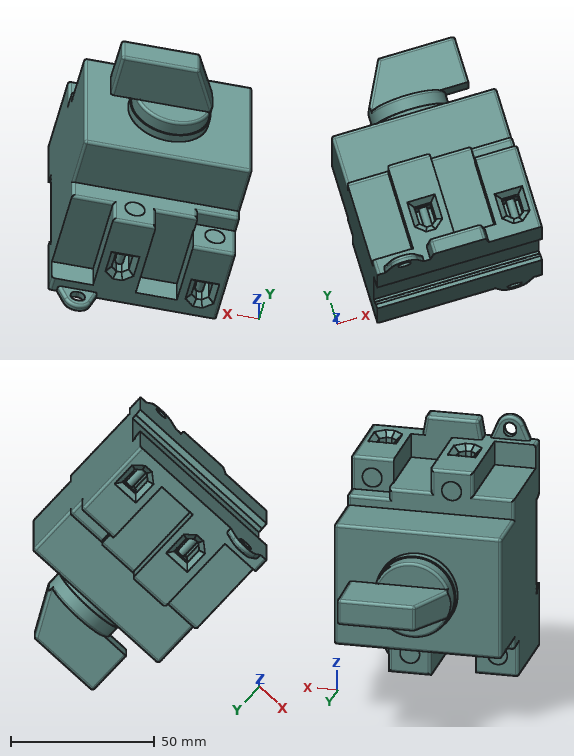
import cadquery as cq
import math


TOLERANCE = 0.01

pitch = 15.0
half_width = 2 * pitch
body_half_height = 38.8
box_half_height = 22.5
shoulder_y = 36.5
box_y = 55.6
edge_radius = 1.0

rail_depth = 4.0
rail_top = 17.9
rail_lip_top = 18.7
rail_lip_y = 2.3
rail_bottom = -17.5
hook_tip = -15.0
hook_tip_y = 1.5
hook_slope_bottom = -16.2
hook_y = 2.8

flange_y = 5.5
bay_width = 14.7
bay_floor = 30.0
step_y = 30.5
step_floor = 26.3

ear_x = 20.0
ear_top = 47.5
ear_hole_z = 42.5
ear_radius = ear_top - ear_hole_z
ear_base_half = 7.0
ear_thickness = 2.5
slot_width = 4.5
slot_length = 5.1

tab_top = 45.9
tab_base_half = 10.6
tab_top_half = 9.4

funnel_width = 10.1
funnel_tip_width = 3.3
funnel_length = 12.0
funnel_straight = 9.1
funnel_taper = 2.0
funnel_setback = 14.6

screw_z = 31.2
shaft_radius = 1.5
head_radius = 3.5
well_floor = screw_z - head_radius

terminals = [(-pitch / 2, shoulder_y), (3 * pitch / 2, step_y)]

collar_radius = 14.4
collar_y = 58.6
knob_radius = 14.0
disk_y = 64.0
disk_edge_radius = 0.95
grip_y = 81.3
grip_left = -5.1
grip_right = 22.6
grip_base_half = 5.2
grip_top_half = 4.7
grip_edge_radius = 1.0


def near(a, b):
    return abs(a - b) < TOLERANCE


def box(x0, x1, y0, y1, z0, z1):
    """Box between two opposite corners."""
    return cq.Workplane("XY", origin=(x0, y0, z0)).box(x1 - x0, y1 - y0, z1 - z0, centered=False)


def y_cylinder(radius, y0, y1, x=0, z=0):
    """Cylinder along Y from y0 to y1."""
    return cq.Workplane("XZ", origin=(x, y0, z)).circle(radius).extrude(y0 - y1)


def half_turn(shape):
    """Copy of an upper feature turned onto the lower side."""
    return shape.rotate((0, 0, 0), (0, 1, 0), 180)



def stepped_block():
    """Stepped side outline with the rail notch, swept across the width."""
    outline = [
        (0, body_half_height),
        (shoulder_y, body_half_height),
        (shoulder_y, box_half_height),
        (box_y, box_half_height),
        (box_y, -box_half_height),
        (shoulder_y, -box_half_height),
        (shoulder_y, -body_half_height),
        (0, -body_half_height),
        (0, hook_tip),
        (hook_tip_y, hook_tip),
        (hook_y, hook_slope_bottom),
        (hook_y, rail_bottom),
        (rail_depth, rail_bottom),
        (rail_depth, rail_top),
        (rail_lip_y, rail_top),
        (0, rail_lip_top),
    ]
    return cq.Workplane("YZ").polyline(outline).close().extrude(half_width, both=True)


def terminal_reliefs():
    """Space around the upper terminal blocks: two bays and the step in front of the outer block."""
    reliefs = box(pitch, half_width, step_y, shoulder_y, step_floor, body_half_height)
    for x in (-half_width, 0):
        reliefs = reliefs.union(
            box(x, x + bay_width, flange_y, shoulder_y, bay_floor, body_half_height)
        )
    opening = box(bay_width, pitch, step_y, shoulder_y, bay_floor, body_half_height)
    return reliefs.union(opening)


def is_rounded(edge):
    """True for edges of the front faces and for side outlines away from the bays and the rail notch."""
    center = edge.Center()
    height = abs(center.z)
    if near(center.y, box_y):
        return True
    if near(center.y, shoulder_y):
        inner_corner = near(height, box_half_height)
        return not inner_corner
    if near(abs(center.x), half_width):
        at_bay = near(height, bay_floor) or near(center.y, flange_y)
        at_back = near(center.y, 0) or height < rail_lip_top
        return not (at_bay or at_back)
    return near(center.y, step_y) and near(height, body_half_height)


def shell():
    reliefs = terminal_reliefs()
    block = stepped_block().cut(reliefs).cut(half_turn(reliefs))
    return block.edges().filter(is_rounded).fillet(edge_radius)


def is_above_body(edge):
    return edge.Center().z > body_half_height


root_z = body_half_height - edge_radius


def ear():
    """Upper ear without its slot: straight flanks tangent to a round end, front rim rounded."""
    rise = ear_hole_z - body_half_height
    to_foot = math.hypot(ear_base_half, rise)
    angle = math.acos(ear_radius / to_foot) - math.atan2(rise, ear_base_half)
    tangent_x = ear_radius * math.cos(angle)
    tangent_z = ear_hole_z + ear_radius * math.sin(angle)
    plate = (
        cq.Workplane("XZ")
        .moveTo(-ear_base_half, root_z)
        .lineTo(-ear_base_half, body_half_height)
        .lineTo(-tangent_x, tangent_z)
        .threePointArc((0, ear_top), (tangent_x, tangent_z))
        .lineTo(ear_base_half, body_half_height)
        .lineTo(ear_base_half, root_z)
        .close()
        .extrude(-ear_thickness)
    )
    plate = plate.faces(">Y").edges().filter(is_above_body).fillet(edge_radius)
    return plate.translate((-ear_x, 0, 0))


def ear_slot(x, z, angle):
    """Short slot through an ear; the angle is that of its long direction from X."""
    slot = cq.Workplane("XZ", origin=(x, 0, z)).slot2D(slot_length, slot_width, angle)
    return slot.extrude(-ear_thickness)


def tab():
    """Tapered tab on the upper flange, rounded except on its back."""
    outline = [
        (-tab_base_half, root_z),
        (-tab_base_half, body_half_height),
        (-tab_top_half, tab_top),
        (tab_top_half, tab_top),
        (tab_base_half, body_half_height),
        (tab_base_half, root_z),
    ]
    plate = cq.Workplane("XZ").polyline(outline).close().extrude(-flange_y)
    return plate.edges("not <Y").filter(is_above_body).fillet(edge_radius)


def funnel(x, front):
    """Wire entry from above: 45 degree mouth, then a straight well past the screw shaft."""
    top_y = front - funnel_setback
    half = funnel_width / 2
    half_tip = funnel_tip_width / 2
    outline = [
        (x - half, top_y),
        (x + half, top_y),
        (x + half, top_y - funnel_straight),
        (x + half_tip, top_y - funnel_length),
        (x - half_tip, top_y - funnel_length),
        (x - half, top_y - funnel_straight),
    ]
    top = cq.Workplane("XY", origin=(0, 0, body_half_height)).polyline(outline).close()
    mouth = top.extrude(-funnel_taper, taper=45)
    well_depth = body_half_height - funnel_taper - well_floor
    well = mouth.faces("<Z").wires().toPending().workplane().extrude(well_depth, combine=False)
    return mouth.union(well)


def make_housing():
    housing = shell().union(ear()).union(half_turn(ear())).union(tab())
    housing = housing.cut(ear_slot(-ear_x, ear_hole_z, 90)).cut(ear_slot(ear_x, -ear_hole_z, 0))
    for x, front in terminals:
        cavity = funnel(x, front).union(make_screw(x, front))
        housing = housing.cut(cavity).cut(half_turn(cavity))
    return housing



def make_screw(x, front):
    """Upper screw: head flush with the block front, shaft across the funnel well."""
    head_y = front - funnel_setback - funnel_taper
    tip_y = front - funnel_setback - funnel_length + funnel_taper
    head = y_cylinder(head_radius, head_y, front, x, screw_z)
    shaft = y_cylinder(shaft_radius, tip_y, head_y, x, screw_z)
    return head.union(shaft)



def make_collar():
    return y_cylinder(collar_radius, box_y, collar_y)


def grip():
    """Handle of the knob: one sloping side, both broad faces tapering towards the front."""
    side_outline = [
        (-knob_radius, collar_y),
        (-knob_radius, disk_y),
        (grip_left, grip_y),
        (grip_right, grip_y),
        (grip_right, disk_y),
        (0, disk_y),
        (0, collar_y),
    ]
    side = cq.Workplane("XY").polyline(side_outline).close().extrude(knob_radius, both=True)
    slope = (grip_base_half - grip_top_half) / (grip_y - disk_y)
    foot_half = grip_base_half + slope * (disk_y - collar_y)
    taper_outline = [
        (collar_y, -foot_half),
        (grip_y, -grip_top_half),
        (grip_y, grip_top_half),
        (collar_y, foot_half),
    ]
    taper = cq.Workplane("YZ").polyline(taper_outline).close().extrude(half_width, both=True)
    handle = side.intersect(taper)
    handle = handle.edges().filter(lambda edge: edge.Center().y > disk_y + TOLERANCE)
    handle = handle.fillet(grip_edge_radius)
    bound = y_cylinder(knob_radius, collar_y, grip_y)
    bound = bound.union(box(0, grip_right, collar_y, grip_y, -knob_radius, knob_radius))
    return handle.intersect(bound)


def make_knob():
    disk = y_cylinder(knob_radius, collar_y, disk_y)
    disk = disk.faces(">Y").edges().fillet(disk_edge_radius)
    return disk.union(grip())


screws = []
for terminal_x, block_front in terminals:
    upper_screw = make_screw(terminal_x, block_front)
    screws += [upper_screw.val(), half_turn(upper_screw).val()]

housing = make_housing()
collar = make_collar()
knob = make_knob()

result = cq.Compound.makeCompound([housing.val(), collar.val(), knob.val(), *screws])